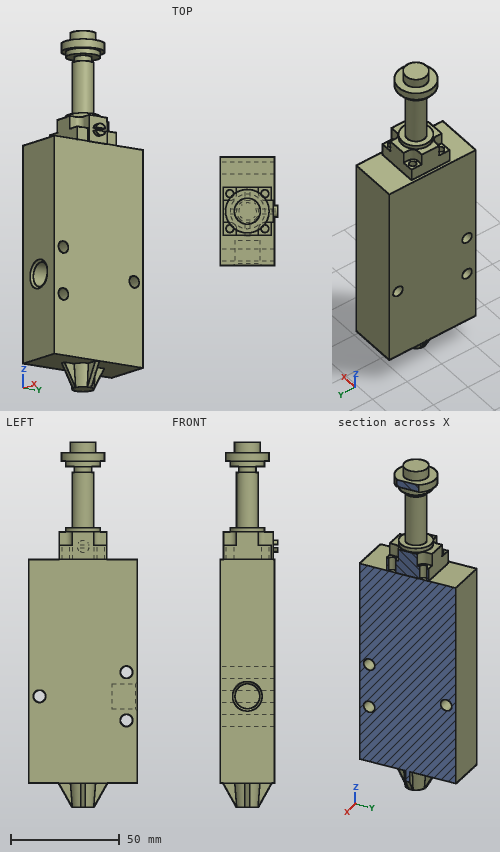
import cadquery as cq

BODY_WIDTH = 25.0
BODY_DEPTH = 50.0
BODY_BOTTOM_Z = 11.1
BODY_TOP_Z = 114.0

CORE_TOP_RADIUS = 5.9
PLUG_END_RADIUS = 5.0
FIN_TOP_REACH = 11.3
FIN_THICKNESS = 2.2

PORT_Z = 51.0
PORT_DIAMETER = 11.5
PORT_MOUTH_DIAMETER = 13.6
PORT_DEPTH = 11.8
MOUNT_HOLE_DIAMETER = 5.5
MOUNT_HOLE_Y = 20.0
MOUNT_HOLE_RISE = 11.1

BASE_SIZE = 22.0
BASE_TOP_Z = 126.7
STEP_Z = 120.6
ARM_WIDTH = 10.0
STEP_CORNER_RADIUS = 3.0
SCREW_HOLE_DIAMETER = 3.5
PAD_PROJECTION = 1.0

OVERRIDE_DIAMETER = 5.5
OVERRIDE_LENGTH = 2.0
OVERRIDE_Z = 120.1
OVERRIDE_SLOT_WIDTH = 1.3

STEM_SECTIONS = [
    (16.0, 128.7),
    (10.0, 154.0),
    (8.0, 156.7),
    (16.0, 159.3),
    (20.0, 163.1),
    (12.0, 168.0),
]


def make_plug():
    """Conical core crossed by two tapered plates that form the four fins."""
    core_outline = [
        (0, 0),
        (PLUG_END_RADIUS, 0),
        (CORE_TOP_RADIUS, BODY_BOTTOM_Z),
        (0, BODY_BOTTOM_Z),
    ]
    plug = cq.Workplane("XZ").polyline(core_outline).close().revolve(360, (0, 0), (0, 1))

    fin_outline = [
        (-PLUG_END_RADIUS, 0),
        (PLUG_END_RADIUS, 0),
        (FIN_TOP_REACH, BODY_BOTTOM_Z),
        (-FIN_TOP_REACH, BODY_BOTTOM_Z),
    ]
    for plane in ("XZ", "YZ"):
        plate = cq.Workplane(plane).polyline(fin_outline).close().extrude(FIN_THICKNESS / 2, both=True)
        plug = plug.union(plate)
    return plug


def make_port_cutter():
    """Blind hole from the -Y face with a 45 degree countersunk mouth."""
    mouth_radius = PORT_MOUTH_DIAMETER / 2
    hole_radius = PORT_DIAMETER / 2
    mouth_depth = mouth_radius - hole_radius
    front_y = -BODY_DEPTH / 2
    outline = [
        (0, front_y),
        (mouth_radius, front_y),
        (hole_radius, front_y + mouth_depth),
        (hole_radius, front_y + PORT_DEPTH),
        (0, front_y + PORT_DEPTH),
    ]
    cutter = cq.Workplane("XY").polyline(outline).close().revolve(360, (0, 0), (0, 1))
    return cutter.translate((0, 0, PORT_Z))


def make_valve_body():
    body_height = BODY_TOP_Z - BODY_BOTTOM_Z
    block = (
        cq.Workplane("XY", origin=(0, 0, BODY_BOTTOM_Z))
        .box(BODY_WIDTH, BODY_DEPTH, body_height, centered=(True, True, False))
    )
    mount_holes = (
        cq.Workplane("YZ")
        .pushPoints([
            (MOUNT_HOLE_Y, PORT_Z),
            (-MOUNT_HOLE_Y, PORT_Z + MOUNT_HOLE_RISE),
            (-MOUNT_HOLE_Y, PORT_Z - MOUNT_HOLE_RISE),
        ])
        .circle(MOUNT_HOLE_DIAMETER / 2)
        .extrude(BODY_WIDTH, both=True)
    )
    return block.union(make_plug()).cut(make_port_cutter()).cut(mount_holes)


def make_corner_cutter(side_x, side_y):
    """Corner step with a rounded inner edge, and the screw hole centred on that rounding."""
    inner = ARM_WIDTH / 2
    step_size = BASE_SIZE / 2 - inner
    centre = inner + step_size / 2
    inner_edge = (side_x * inner, side_y * inner, (STEP_Z + BASE_TOP_Z) / 2)
    step = (
        cq.Workplane("XY", origin=(side_x * centre, side_y * centre, STEP_Z))
        .box(step_size, step_size, BASE_TOP_Z - STEP_Z, centered=(True, True, False))
        .edges(cq.selectors.NearestToPointSelector(inner_edge))
        .fillet(STEP_CORNER_RADIUS)
    )
    hole_offset = inner + STEP_CORNER_RADIUS
    screw_hole = (
        cq.Workplane("XY", origin=(side_x * hole_offset, side_y * hole_offset, BODY_TOP_Z))
        .circle(SCREW_HOLE_DIAMETER / 2)
        .extrude(BASE_TOP_Z - BODY_TOP_Z)
    )
    return step.union(screw_hole)


def make_override_screw(pad_x):
    """Round screw head, split by a full-depth slot along Y."""
    head = (
        cq.Workplane("YZ", origin=(pad_x, 0, OVERRIDE_Z))
        .circle(OVERRIDE_DIAMETER / 2)
        .extrude(OVERRIDE_LENGTH)
    )
    slot = (
        cq.Workplane("YZ", origin=(pad_x, 0, OVERRIDE_Z))
        .rect(OVERRIDE_DIAMETER, OVERRIDE_SLOT_WIDTH)
        .extrude(OVERRIDE_LENGTH)
    )
    return head.cut(slot)


def make_pilot():
    base_height = BASE_TOP_Z - BODY_TOP_Z
    floor = cq.Workplane("XY", origin=(0, 0, BODY_TOP_Z))
    pilot = floor.box(BASE_SIZE, BASE_SIZE, base_height, centered=(True, True, False))
    for side_x in (-1, 1):
        for side_y in (-1, 1):
            pilot = pilot.cut(make_corner_cutter(side_x, side_y))

    pad_x = BASE_SIZE / 2 + PAD_PROJECTION
    pad = floor.box(pad_x, ARM_WIDTH, base_height, centered=(False, True, False))
    pilot = pilot.union(pad).union(make_override_screw(pad_x))

    section_bottom = BASE_TOP_Z
    for diameter, section_top in STEM_SECTIONS:
        section = (
            cq.Workplane("XY", origin=(0, 0, section_bottom))
            .circle(diameter / 2)
            .extrude(section_top - section_bottom)
        )
        pilot = pilot.union(section)
        section_bottom = section_top
    return pilot


valve_body = make_valve_body()
pilot = make_pilot()
result = cq.Compound.makeCompound([valve_body.val(), pilot.val()])